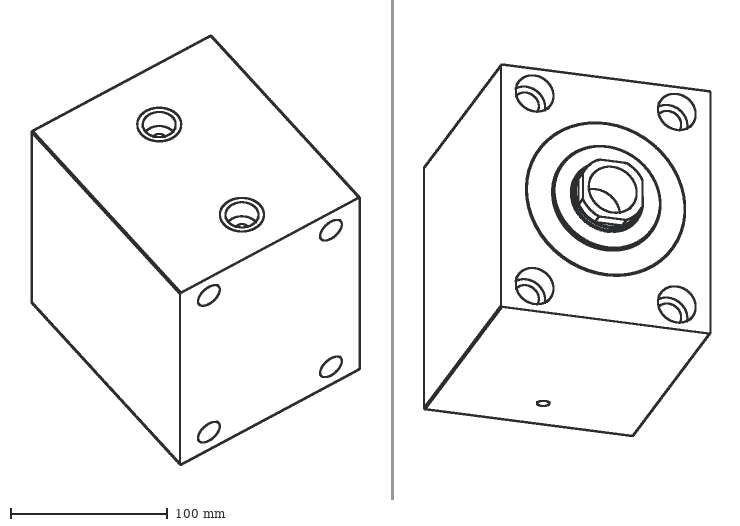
import cadquery as cq

overall_length = 180.0
block_length = 165.0
block_width = 140.0
block_height = 170.0
edge_chamfer = 0.7

bolt_spacing_y = 95.0
bolt_spacing_z = 135.0
bolt_diameter = 17.0
bolt_head_diameter = 25.2
bolt_head_depth = 18.0

front_port_x = 42.0
rear_port_x = 134.0
spotface_diameter = 28.0
spotface_depth = 0.2
port_diameter = 21.0
port_depth = 14.0
passage_diameter = 8.0

gland_diameter = 106.4
gland_depth = 54.0
gland_chamfer = 0.5
boss_diameter = 71.8
boss_height = 3.0
boss_chamfer = 0.7
wiper_diameter = 48.0
wiper_depth = 1.0

rod_diameter = 45.0
rod_chamfer = 0.5
rod_reach = block_length - overall_length
tip_length = 8.8
tip_diameter = 44.0
tip_flats = 40.0
rod_hole_diameter = 32.0
rod_hole_depth = 36.0
drill_point_depth = 9.2
shank_start = rod_reach + tip_length


def x_cylinder(diameter, start, end):
    """Cylinder on the rod axis between two X positions."""
    return cq.Workplane("YZ", origin=(start, 0, 0)).circle(diameter / 2).extrude(end - start)


def x_bolt_holes(diameter, depth):
    """Four cylinders into the block from its front face, at the bolt positions."""
    return (
        cq.Workplane("YZ")
        .rect(bolt_spacing_y, bolt_spacing_z, forConstruction=True)
        .vertices()
        .circle(diameter / 2)
        .extrude(depth)
    )


def z_hole(x, diameter, depth):
    """Cylinder down from the top face of the block."""
    return cq.Workplane("XY", origin=(x, 0, block_height / 2)).circle(diameter / 2).extrude(-depth)


def port(x, passage_depth):
    """Oil port with a shallow spotface and a narrow passage below it."""
    return (
        z_hole(x, spotface_diameter, spotface_depth)
        .union(z_hole(x, port_diameter, port_depth))
        .union(z_hole(x, passage_diameter, passage_depth))
    )


def make_housing():
    block = cq.Workplane("XY").box(block_length, block_width, block_height, centered=(False, True, True))
    block = block.edges("|X").chamfer(edge_chamfer)
    block = block.cut(x_bolt_holes(bolt_diameter, block_length))
    block = block.cut(x_bolt_holes(bolt_head_diameter, bolt_head_depth))
    block = block.cut(port(front_port_x, block_height / 2))
    block = block.cut(port(rear_port_x, block_height))
    return block.cut(x_cylinder(gland_diameter, 0, gland_depth))


def make_gland():
    boss = x_cylinder(boss_diameter, -boss_height, 0).faces("<X").edges().chamfer(boss_chamfer)
    plug = x_cylinder(gland_diameter, 0, gland_depth).faces("<X").edges().chamfer(gland_chamfer)
    gland = plug.union(boss)
    gland = gland.cut(x_cylinder(rod_diameter, -boss_height, gland_depth))
    return gland.cut(x_cylinder(wiper_diameter, -boss_height, wiper_depth - boss_height))


def make_rod():
    shank = x_cylinder(rod_diameter, shank_start, gland_depth).faces("<X").edges().chamfer(rod_chamfer)
    flats = cq.Workplane("YZ", origin=(rod_reach, 0, 0)).rect(tip_flats, tip_flats).extrude(tip_length)
    tip = x_cylinder(tip_diameter, rod_reach, shank_start).intersect(flats)
    hole_end = rod_reach + rod_hole_depth
    hole = (
        cq.Workplane("XY")
        .moveTo(rod_reach, 0)
        .lineTo(rod_reach, rod_hole_diameter / 2)
        .lineTo(hole_end, rod_hole_diameter / 2)
        .lineTo(hole_end + drill_point_depth, 0)
        .close()
        .revolve(360, (0, 0, 0), (1, 0, 0))
    )
    return shank.union(tip).cut(hole)


housing = make_housing()
gland = make_gland()
rod = make_rod()

result = cq.Compound.makeCompound([housing.val(), gland.val(), rod.val()])